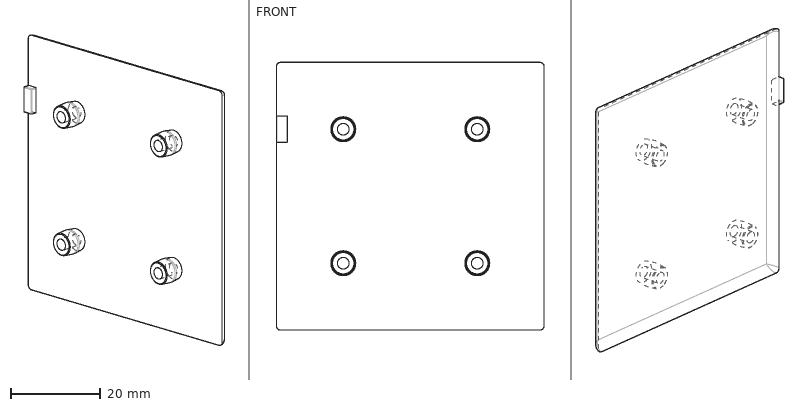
import cadquery as cq
import math

PLATE_SIDE = 60.0
PLATE_THICKNESS = 2.0
CORNER_RADIUS = 1.0

PEG_SPACING = 30.0
PEG_LENGTH = 5.0
PEG_ROOT_DIAMETER = 5.1
PEG_BAND_DIAMETER = 5.6
PEG_TIP_DIAMETER = 5.2
PEG_BAND_START = 2.0
PEG_BAND_WIDTH = 0.5
PEG_TIP_CHAMFER = 0.2
PEG_HOLE_DIAMETER = 2.6
PEG_HOLE_DEPTH = PEG_LENGTH

TAB_WIDTH = 2.5
TAB_HEIGHT = 6.0
TAB_DEPTH = 1.5
TAB_FILLET = 0.2
TAB_CENTER_Z = PEG_SPACING / 2


def rounded_slab(turn):
    """Slab of the plate width whose two back edges are quarter rounds, turned about Y."""
    half = PLATE_SIDE / 2
    radius = PLATE_THICKNESS
    mid_height = radius * math.sqrt(0.5)
    mid_inset = radius - mid_height
    slab = (
        cq.Workplane("XY")
        .moveTo(-half, 0)
        .threePointArc((-half + mid_inset, mid_height), (-half + radius, radius))
        .lineTo(half - radius, radius)
        .threePointArc((half - mid_inset, mid_height), (half, 0))
        .close()
        .extrude(half, both=True)
    )
    return slab.rotate((0, 0, 0), (0, 1, 0), turn)


def make_plate():
    """Square plate, rounded on all four sides, with the corner edges filleted."""
    plate = rounded_slab(0).intersect(rounded_slab(90))
    flat_half = PLATE_SIDE / 2 - PLATE_THICKNESS
    corner_edges = [
        edge
        for edge in plate.edges().vals()
        if min(abs(edge.Center().x), abs(edge.Center().z)) > flat_half
    ]
    return plate.newObject(corner_edges).fillet(CORNER_RADIUS)


def make_peg():
    """Peg on the Y axis: widens to a narrow band, then narrows to a chamfered tip."""
    root_radius = PEG_ROOT_DIAMETER / 2
    band_radius = PEG_BAND_DIAMETER / 2
    tip_radius = PEG_TIP_DIAMETER / 2
    band_end = PEG_BAND_START + PEG_BAND_WIDTH
    return (
        cq.Workplane("XY")
        .lineTo(root_radius, 0)
        .lineTo(band_radius, -PEG_BAND_START)
        .lineTo(band_radius, -band_end)
        .lineTo(tip_radius, -PEG_LENGTH + PEG_TIP_CHAMFER)
        .lineTo(tip_radius - PEG_TIP_CHAMFER, -PEG_LENGTH)
        .lineTo(0, -PEG_LENGTH)
        .close()
        .revolve(360, (0, 0, 0), (0, 1, 0))
    )


def make_peg_hole():
    """Blind hole on the Y axis, entering from the peg tip."""
    return (
        cq.Workplane("XZ", origin=(0, -PEG_LENGTH, 0))
        .circle(PEG_HOLE_DIAMETER / 2)
        .extrude(-PEG_HOLE_DEPTH)
    )


def make_tab():
    """Block with all edges rounded except those on the plate, set against its -X side."""
    return (
        cq.Workplane("XY")
        .box(TAB_WIDTH, TAB_DEPTH, TAB_HEIGHT)
        .edges("not >Y")
        .fillet(TAB_FILLET)
        .translate(((TAB_WIDTH - PLATE_SIDE) / 2, -TAB_DEPTH / 2, TAB_CENTER_Z))
    )


hollow_peg = make_peg().cut(make_peg_hole())

result = make_plate().union(make_tab())
for side_x in (-1, 1):
    for side_z in (-1, 1):
        place = (side_x * PEG_SPACING / 2, 0, side_z * PEG_SPACING / 2)
        result = result.union(hollow_peg.translate(place))